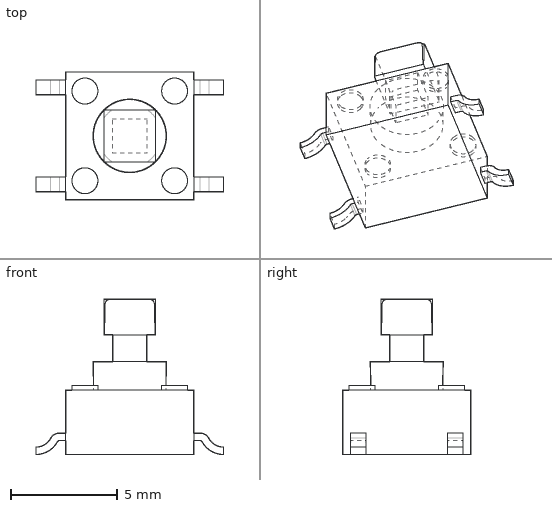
import cadquery as cq
import math

housing_side = 6.03
housing_height = 3.04

rivet_diameter = 1.22
rivet_height = 0.22
rivet_offset = 2.11

collar_top_radius = 1.73
collar_base_radius = 1.705
collar_height = 1.34

overall_height = 7.32
stem_side = 1.60
cap_side = 2.44
cap_height = 1.68
cap_turned_base_radius = 1.705
cap_turned_top_radius = 1.675
cap_top_rounding = 0.20

lead_span = 8.84
lead_width = 0.71
lead_offset = 2.28
lead_thickness = 0.36
foot_inner_radius = 0.80
knee_inner_radius = 0.10
bend_angle = math.radians(61.5)

collar_top = housing_height + collar_height
cap_base = overall_height - cap_height


def make_housing():
    return cq.Workplane("XY").box(housing_side, housing_side, housing_height, centered=(True, True, False))


def make_rivets():
    return (
        cq.Workplane("XY")
        .workplane(offset=housing_height)
        .rect(2 * rivet_offset, 2 * rivet_offset, forConstruction=True)
        .vertices()
        .circle(rivet_diameter / 2)
        .extrude(rivet_height)
    )


def make_frustum(base_radius, top_radius, base_height, height):
    cone = cq.Solid.makeCone(base_radius, top_radius, height, cq.Vector(0, 0, base_height))
    return cq.Workplane("XY").add(cone)


def make_stem():
    return (
        cq.Workplane("XY")
        .workplane(offset=collar_top)
        .rect(stem_side, stem_side)
        .extrude(cap_base - collar_top)
    )


def make_cap():
    """Square cap whose corners are turned down to a round-topped taper."""
    block = cq.Workplane("XY").workplane(offset=cap_base).rect(cap_side, cap_side).extrude(cap_height)
    turned = make_frustum(cap_turned_base_radius, cap_turned_top_radius, cap_base, cap_height)
    return block.intersect(turned.faces(">Z").edges().fillet(cap_top_rounding))


def arc_point(center, radius, angle):
    """Point on a circle, with the angle measured from straight up toward +X."""
    return (center[0] + radius * math.sin(angle), center[1] + radius * math.cos(angle))


def draw_bend(profile, center, radius, start_angle, end_angle):
    """Continue the profile along an arc about the given center, starting at start_angle."""
    middle = arc_point(center, radius, (start_angle + end_angle) / 2)
    return profile.threePointArc(middle, arc_point(center, radius, end_angle))


def make_lead():
    """Lead on the -X side, centred on Y = 0: the foot curls up and the knee levels out at the housing."""
    foot_outer_radius = foot_inner_radius + lead_thickness
    knee_outer_radius = knee_inner_radius + lead_thickness
    foot_tip = math.pi
    foot_end = math.pi - bend_angle
    knee_start = -bend_angle
    knee_end = 0
    foot_center = (-lead_span / 2, foot_outer_radius)
    knee_center = arc_point(foot_center, foot_outer_radius + knee_inner_radius, foot_end)

    profile = cq.Workplane("XZ", origin=(0, lead_width / 2, 0))
    profile = profile.moveTo(*arc_point(foot_center, foot_inner_radius, foot_tip))
    profile = draw_bend(profile, foot_center, foot_inner_radius, foot_tip, foot_end)
    profile = draw_bend(profile, knee_center, knee_outer_radius, knee_start, knee_end)
    profile = profile.hLineTo(-housing_side / 2).vLine(-lead_thickness)
    profile = profile.lineTo(*arc_point(knee_center, knee_inner_radius, knee_end))
    profile = draw_bend(profile, knee_center, knee_inner_radius, knee_end, knee_start)
    profile = draw_bend(profile, foot_center, foot_outer_radius, foot_end, foot_tip)
    return profile.close().extrude(lead_width)


result = make_housing().union(make_rivets())
result = result.union(make_frustum(collar_base_radius, collar_top_radius, housing_height, collar_height))
result = result.union(make_stem()).union(make_cap())

left_lead = make_lead()
for lead in (left_lead, left_lead.mirror("YZ")):
    for lead_y in (-lead_offset, lead_offset):
        result = result.union(lead.translate((0, lead_y, 0)))